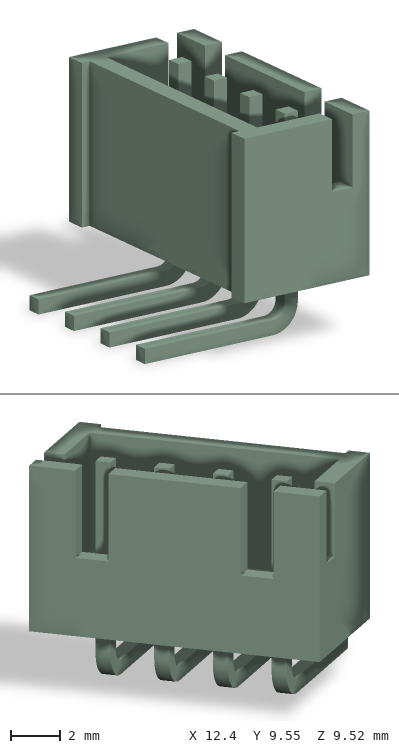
import cadquery as cq

housing_width = 12.4
housing_depth = 6.14
housing_height = 7.0
wall = 0.84
end_wall = 0.87
floor_thickness = 1.98

rib_width = 0.92
rib_depth = 0.38

side_slot_width = 1.0
side_slot_depth = 3.1
back_slot_width = 1.41
back_slot_depth = 3.7
back_slot_offset = 3.52

pin_count = 4
pin_pitch = 2.5
pin_size = 0.65
pin_center_y = -2.37
pin_tip_drop = 0.2
pin_reach = 9.55
pin_drop = 2.52
bend_inner_radius = 0.6


def block(x_center, width, y_front, y_back, z_bottom, z_top):
    """Box centred at x_center, spanning the given Y and Z limits."""
    return (
        cq.Workplane("XY")
        .box(width, y_back - y_front, z_top - z_bottom, centered=(True, False, False))
        .translate((x_center, y_front, z_bottom))
    )


def make_housing():
    body = block(0, housing_width, -housing_depth, 0, 0, housing_height)

    recess_back = rib_depth - housing_depth
    front_recess = block(
        0, housing_width - 2 * rib_width, -housing_depth, recess_back, 0, housing_height
    )
    cavity = block(
        0, housing_width - 2 * end_wall, recess_back + wall, -wall, floor_thickness, housing_height
    )
    side_slots = block(
        0, housing_width, -wall - side_slot_width, -wall,
        housing_height - side_slot_depth, housing_height,
    )
    body = body.cut(front_recess).cut(cavity).cut(side_slots)

    for x in (-back_slot_offset, back_slot_offset):
        back_slot = block(
            x, back_slot_width, -wall, 0, housing_height - back_slot_depth, housing_height
        )
        body = body.cut(back_slot)
    return body


def make_pin(x_center):
    """L-shaped pin with a rounded bend, extruded across its width."""
    y_back = pin_center_y + pin_size / 2
    y_front = y_back - pin_size
    z_tip = housing_height - pin_tip_drop
    outer_radius = bend_inner_radius + pin_size
    bend_y = y_front - bend_inner_radius
    bend_z = outer_radius - pin_drop
    diagonal = 0.5 ** 0.5
    return (
        cq.Workplane("YZ")
        .moveTo(y_front, z_tip)
        .lineTo(y_back, z_tip)
        .lineTo(y_back, bend_z)
        .threePointArc(
            (bend_y + outer_radius * diagonal, bend_z - outer_radius * diagonal),
            (bend_y, -pin_drop),
        )
        .lineTo(-pin_reach, -pin_drop)
        .lineTo(-pin_reach, pin_size - pin_drop)
        .lineTo(bend_y, pin_size - pin_drop)
        .threePointArc(
            (bend_y + bend_inner_radius * diagonal, bend_z - bend_inner_radius * diagonal),
            (y_front, bend_z),
        )
        .close()
        .extrude(pin_size / 2, both=True)
        .translate((x_center, 0, 0))
    )


result = make_housing()
for index in range(pin_count):
    result = result.union(make_pin((index - (pin_count - 1) / 2) * pin_pitch))